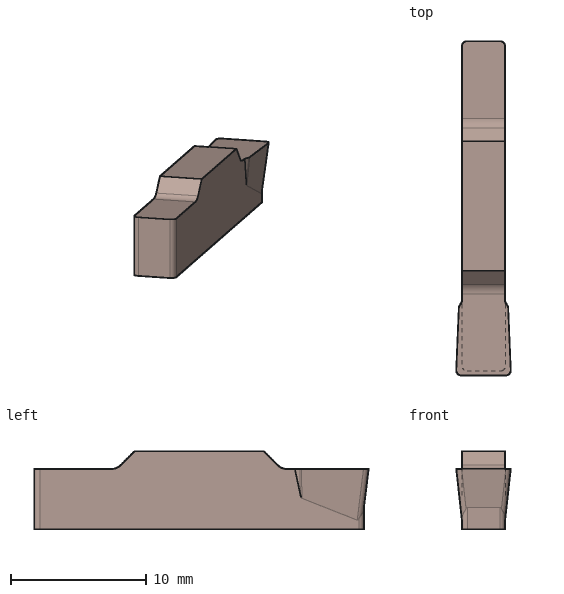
import cadquery as cq
import math

length = 24.75
body_width = 3.22
crown_height = 5.8
seat_height = 4.48
corner_radius = 0.4

crown_front = 7.77
crown_rear = 17.32
ramp_run = crown_height - seat_height
ramp_fillet = 1.0

edge_width = 4.08
neck_width = 3.66
neck_start = 5.07
neck_end = 5.47
shoulder_radius = 0.25
side_relief = 6.0
front_relief = 7.0
relief_height = 2.82
body_front = relief_height * math.tan(math.radians(front_relief))


def make_body():
    """Bar of constant width with rounded vertical corners and a raised crown."""
    front_foot = (crown_front - ramp_run, seat_height)
    rear_foot = (crown_rear + ramp_run, seat_height)
    profile = [
        (body_front, 0),
        (body_front, seat_height),
        front_foot,
        (crown_front, crown_height),
        (crown_rear, crown_height),
        rear_foot,
        (length, seat_height),
        (length, 0),
    ]
    bar = cq.Workplane("YZ").polyline(profile).close().extrude(body_width / 2, both=True)
    bar = bar.edges("|Z").fillet(corner_radius)
    for foot in (front_foot, rear_foot):
        foot_edge = cq.selectors.NearestToPointSelector((0, *foot))
        bar = bar.edges(foot_edge).fillet(ramp_fillet)
    return bar


def make_head():
    """Head that narrows downward and rearward, with a leaning front face."""
    front_overrun = 1.0
    buried_depth = 0.25
    flare = (edge_width - neck_width) / 2 / neck_start
    shoulder_run = (neck_end - neck_start) / ((neck_width - body_width) / 2)
    front_half = edge_width / 2 + flare * front_overrun
    rear_half = body_width / 2 - buried_depth
    rear = neck_end + shoulder_run * buried_depth
    outline = [
        (-front_half, -front_overrun),
        (-neck_width / 2, neck_start),
        (-rear_half, rear),
        (rear_half, rear),
        (neck_width / 2, neck_start),
        (front_half, -front_overrun),
    ]
    flared = (
        cq.Workplane("XY", origin=(0, 0, seat_height))
        .polyline(outline)
        .close()
        .extrude(-seat_height, taper=side_relief)
    )
    front_lean = seat_height * math.tan(math.radians(front_relief))
    side_profile = (
        cq.Workplane("YZ")
        .polyline([(0, seat_height), (rear, seat_height), (rear, 0), (front_lean, 0)])
        .close()
        .extrude(edge_width, both=True)
    )
    head = flared.intersect(side_profile)
    head = head.faces("<Y").edges("not #Z").fillet(corner_radius)
    for side in (-1, 1):
        shoulder_edge = cq.selectors.NearestToPointSelector(
            (side * neck_width / 2, neck_start, seat_height / 2)
        )
        head = head.edges(shoulder_edge).fillet(shoulder_radius)
    return head


result = make_body().union(make_head())